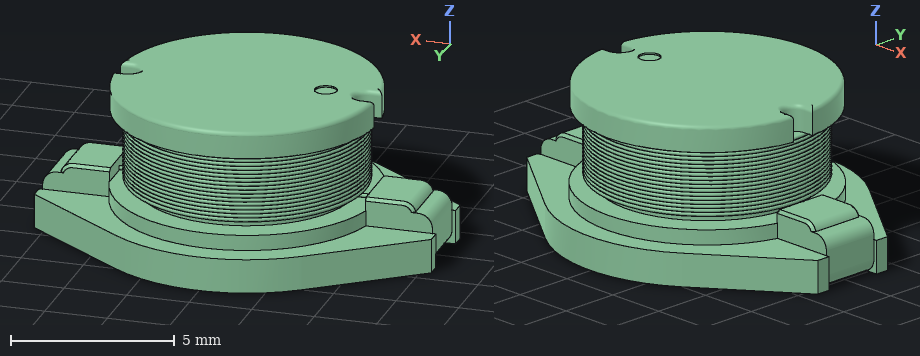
import cadquery as cq
import math

length = 12.7
base_width = 10.0
round_radius = base_width / 2
end_width = 3.0
base_height = 1.1

flange_radius = 4.23
flange_top = 1.6
cap_radius = 4.2
cap_bottom = 4.1
cap_top = 5.0
cap_rounding = 0.19

core_radius = 3.43
winding_radius = 3.81
winding_bottom = 1.85
turn_count = 17
gap_below_cap = 0.04
turn_pitch = (cap_bottom - gap_below_cap - winding_bottom) / turn_count
inner_layer_radius = 3.6

lead_diameter = 0.13
lead_z = 1.68

notch_radius = 0.41
notch_offset = 3.81
dot_diameter = 0.7
dot_offset = 2.51
dot_depth = 0.05

clip_width = 2.03
clip_outer_x = 6.24
clip_inner_x = 4.09
clip_bend = 0.46
clip_shoulder_z = 1.71
clip_top = 2.02
crown_radius = 0.42
crown_start_x = 5.27
clip_edge_chamfer = 0.1


def make_base():
    """Plate whose straight flanks are tangent to its round middle."""
    half_length = length / 2
    half_end = end_width / 2
    corner_distance = math.hypot(half_length, half_end)
    tangent_angle = math.atan2(half_end, half_length) + math.acos(round_radius / corner_distance)
    tangent_x = round_radius * math.cos(tangent_angle)
    tangent_y = round_radius * math.sin(tangent_angle)
    plate = (
        cq.Workplane("XY")
        .moveTo(half_length, -half_end)
        .lineTo(half_length, half_end)
        .lineTo(tangent_x, tangent_y)
        .threePointArc((0, round_radius), (-tangent_x, tangent_y))
        .lineTo(-half_length, half_end)
        .lineTo(-half_length, -half_end)
        .lineTo(-tangent_x, -tangent_y)
        .threePointArc((0, -round_radius), (tangent_x, -tangent_y))
        .close()
        .extrude(base_height)
    )
    for side in (-1, 1):
        slot = cq.Workplane("XY").box(
            half_length - clip_inner_x, clip_width, base_height, centered=(True, True, False)
        )
        plate = plate.cut(slot.translate((side * (half_length + clip_inner_x) / 2, 0, 0)))
    return plate


def make_clip():
    """Terminal on the +X end: bent strip with a raised, rounded crown."""
    bend_diagonal = clip_bend * math.sqrt(0.5)
    bend_x = clip_outer_x - clip_bend
    upper_bend_z = clip_shoulder_z - clip_bend
    crown_z = clip_top - crown_radius
    crown_angle = math.asin((clip_shoulder_z - crown_z) / crown_radius)
    crown_end_x = crown_start_x + crown_radius * math.cos(crown_angle)
    mid_angle = (crown_angle + math.pi / 2) / 2
    crown_mid = (
        crown_start_x + crown_radius * math.cos(mid_angle),
        crown_z + crown_radius * math.sin(mid_angle),
    )
    clip = (
        cq.Workplane("XZ")
        .moveTo(clip_inner_x, 0)
        .lineTo(bend_x, 0)
        .threePointArc((bend_x + bend_diagonal, clip_bend - bend_diagonal), (clip_outer_x, clip_bend))
        .lineTo(clip_outer_x, upper_bend_z)
        .threePointArc((bend_x + bend_diagonal, upper_bend_z + bend_diagonal), (bend_x, clip_shoulder_z))
        .lineTo(crown_end_x, clip_shoulder_z)
        .threePointArc(crown_mid, (crown_start_x, clip_top))
        .lineTo(clip_inner_x, clip_top)
        .close()
        .extrude(clip_width / 2, both=True)
    )
    return clip.faces(">Z").edges("|X").chamfer(clip_edge_chamfer)


def make_flange():
    """Disc between the base plate and the winding."""
    thickness = flange_top - base_height
    return cq.Workplane("XY").workplane(offset=base_height).circle(flange_radius).extrude(thickness)


def make_winding():
    """Core with one half-round ridge per turn, revolved about Z."""
    wire_radius = turn_pitch / 2
    wire_diagonal = wire_radius * math.sqrt(0.5)
    inner_center_radius = inner_layer_radius - wire_radius
    valley_radius = winding_radius - wire_radius
    outline = (
        cq.Workplane("XZ")
        .moveTo(0, flange_top)
        .lineTo(core_radius, flange_top)
        .lineTo(core_radius, winding_bottom - wire_radius)
        .lineTo(inner_center_radius, winding_bottom - wire_radius)
        .threePointArc(
            (inner_center_radius + wire_diagonal, winding_bottom - wire_diagonal),
            (inner_layer_radius, winding_bottom),
        )
        .lineTo(valley_radius, winding_bottom)
    )
    for turn in range(turn_count):
        turn_z = winding_bottom + turn * turn_pitch
        outline = outline.threePointArc(
            (winding_radius, turn_z + wire_radius), (valley_radius, turn_z + turn_pitch)
        )
    winding_top = cap_bottom - gap_below_cap
    outline = outline.lineTo(core_radius, winding_top).lineTo(core_radius, cap_bottom).lineTo(0, cap_bottom)
    return outline.close().revolve(360, (0, 0, 0), (0, 1, 0))


def make_leads():
    """Straight wire across the lower flange, joining both clips to the winding."""
    return (
        cq.Workplane("YZ")
        .center(0, lead_z)
        .circle(lead_diameter / 2)
        .extrude(clip_inner_x, both=True)
    )


def make_cap():
    """Rounded top disc with a wire notch on each side and a marking dot."""
    thickness = cap_top - cap_bottom
    cap = cq.Workplane("XY").workplane(offset=cap_bottom).circle(cap_radius).extrude(thickness)
    for side in (-1, 1):
        notch = (
            cq.Workplane("XY")
            .workplane(offset=cap_bottom)
            .center(side * notch_offset, 0)
            .circle(notch_radius)
            .extrude(thickness)
        )
        mouth = cq.Workplane("XY").box(
            2 * notch_radius, 2 * notch_radius, thickness, centered=(True, True, False)
        )
        mouth = mouth.translate((side * (notch_offset + notch_radius), 0, cap_bottom))
        cap = cap.cut(notch.union(mouth))
    cap = cap.faces(">Z").edges().fillet(cap_rounding)
    dot = (
        cq.Workplane("XY")
        .workplane(offset=cap_top - dot_depth)
        .center(-dot_offset, 0)
        .circle(dot_diameter / 2)
        .extrude(dot_depth)
    )
    return cap.cut(dot)


clip = make_clip()
result = (
    make_base()
    .union(clip)
    .union(clip.mirror("YZ"))
    .union(make_flange())
    .union(make_winding())
    .union(make_leads())
    .union(make_cap())
)